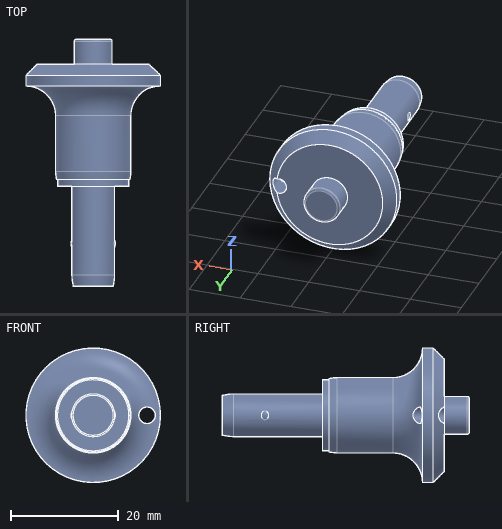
import cadquery as cq

total_length = 45.9

pin_radius = 4.0
tip_radius = 3.7
tip_length = 2.1

collar_radius = 6.6
collar_front = 18.6
collar_length = 1.25
sleeve_radius = 7.0
sleeve_front_radius = 6.85
sleeve_taper_length = 1.5

flange_radius = 12.51
flange_chamfer = 2.05
flange_back = 41.25
flange_rim_width = 2.0

button_radius = 3.55
button_edge_radius = 0.4

hole_radius = 1.5
hole_offset = 10.0

ball_position = 7.95
ball_radius = 1.65
ball_protrusion = 0.15

sleeve_front = collar_front + collar_length
taper_end = sleeve_front + sleeve_taper_length
flange_front = flange_back - flange_chamfer - flange_rim_width
flare_radius = flange_radius - sleeve_radius
flare_start = flange_front - flare_radius


def round_taper(start_radius, end_radius, length):
    """Radius of an arc that is parallel to the axis at its wide end."""
    drop = end_radius - start_radius
    return (length**2 + drop**2) / (2 * drop)


def revolved_body():
    """Pin, collar, sleeve, flange and button as one revolved outline."""
    tip_arc = round_taper(tip_radius, pin_radius, tip_length)
    taper_arc = round_taper(sleeve_front_radius, sleeve_radius, sleeve_taper_length)
    outline = (
        cq.Workplane("XY")
        .lineTo(tip_radius, 0)
        .radiusArc((pin_radius, tip_length), -tip_arc)
        .lineTo(pin_radius, collar_front)
        .lineTo(collar_radius, collar_front)
        .lineTo(collar_radius, sleeve_front)
        .lineTo(sleeve_front_radius, sleeve_front)
        .radiusArc((sleeve_radius, taper_end), -taper_arc)
        .lineTo(sleeve_radius, flare_start)
        .radiusArc((flange_radius, flange_front), flare_radius)
        .lineTo(flange_radius, flange_front + flange_rim_width)
        .lineTo(flange_radius - flange_chamfer, flange_back)
        .lineTo(button_radius, flange_back)
        .lineTo(button_radius, total_length - button_edge_radius)
        .radiusArc((button_radius - button_edge_radius, total_length), -button_edge_radius)
        .lineTo(0, total_length)
        .close()
    )
    return outline.revolve(360, (0, 0, 0), (0, 1, 0))


def locking_ball(side):
    """Ball whose cap stands out of the pin on the given X side."""
    center = side * (pin_radius + ball_protrusion - ball_radius)
    return cq.Workplane("XY").sphere(ball_radius).translate((center, ball_position, 0))


def lanyard_hole():
    """Cutter parallel to the axis that passes right through the flange."""
    return (
        cq.Workplane("XZ")
        .center(hole_offset, 0)
        .circle(hole_radius)
        .extrude(-total_length)
    )


result = revolved_body().cut(lanyard_hole())
for side in (-1, 1):
    result = result.union(locking_ball(side))